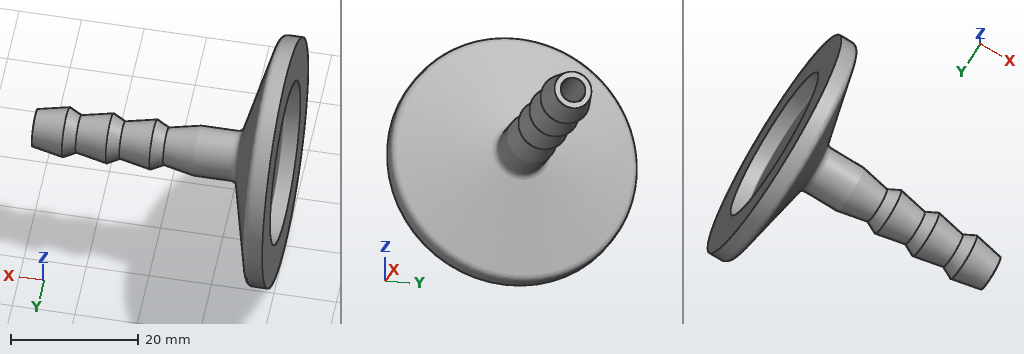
import cadquery as cq
import math

flange_radius = 40.0 / 2
rim_thickness = 3.0
cone_angle = 15.0
blend_radius = 1.0

recess_radius = 26.2 / 2
recess_depth = 2.5
recess_floor_fillet = 0.3

overall_length = 40.0
stem_radius = 8.0 / 2
neck_radius = 6.0 / 2
bore_radius = 4.0 / 2
barb_count = 4
barb_taper_length = 5.0
barb_rise_length = 2.0

barb_pitch = barb_taper_length + barb_rise_length
barbs_start = overall_length - barb_count * barb_pitch + barb_rise_length
cone_end = rim_thickness + (flange_radius - stem_radius) * math.tan(math.radians(cone_angle))


def revolve_about_x(profile):
    """Turn a closed (axial, radial) profile a full revolution about the X axis."""
    return profile.close().revolve(360, (0, 0, 0), (1, 0, 0))


def make_flange():
    """Conical flange with a short length of stem, blended at the rim and the stem root."""
    profile = (
        cq.Workplane("XY")
        .lineTo(0, flange_radius)
        .lineTo(rim_thickness, flange_radius)
        .lineTo(cone_end, stem_radius)
        .lineTo(barbs_start, stem_radius)
        .lineTo(barbs_start, 0)
    )
    outside = 2 * flange_radius
    blended_edges = cq.selectors.BoxSelector(
        (rim_thickness - blend_radius, -outside, -outside),
        (cone_end + blend_radius, outside, outside),
    )
    return revolve_about_x(profile).edges("%CIRCLE").edges(blended_edges).fillet(blend_radius)


def make_barbs():
    """Row of barbs, each tapering to the neck, with a steeper rise to the next one."""
    profile = cq.Workplane("XY").moveTo(barbs_start, 0)
    for index in range(barb_count):
        crest = barbs_start + index * barb_pitch
        profile = profile.lineTo(crest, stem_radius)
        profile = profile.lineTo(crest + barb_taper_length, neck_radius)
    return revolve_about_x(profile.lineTo(overall_length, 0))


def make_recess():
    """Cutter for the flat-bottomed recess with a rounded floor corner."""
    recess = cq.Workplane("YZ").circle(recess_radius).extrude(recess_depth)
    return recess.faces(">X").edges().fillet(recess_floor_fillet)


def make_bore():
    """Cutter for the through bore."""
    return cq.Workplane("YZ").circle(bore_radius).extrude(overall_length)


result = make_flange().union(make_barbs()).cut(make_recess()).cut(make_bore())